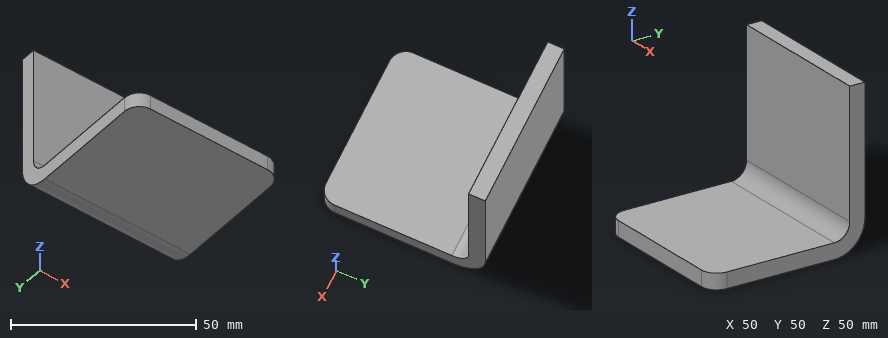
import cadquery as cq

side = 50.0
thickness = 5.0
inner_bend_radius = 5.0
corner_radius = 5.0

outer_bend_radius = inner_bend_radius + thickness


def bent_sheet():
    """L-shaped sheet: base along Y, upright leg at the +Y end, centred on X."""
    sheet = (
        cq.Workplane("XY")
        .box(side, side, side, centered=(True, True, False))
        .edges("|X and >Y and <Z")
        .fillet(outer_bend_radius)
    )
    inside = (
        cq.Workplane("XY", origin=(0, -thickness, thickness))
        .box(side, side, side, centered=(True, True, False))
        .edges("|X and >Y and <Z")
        .fillet(inner_bend_radius)
    )
    return sheet.cut(inside)


result = bent_sheet().edges("|Z and <Y").fillet(corner_radius)